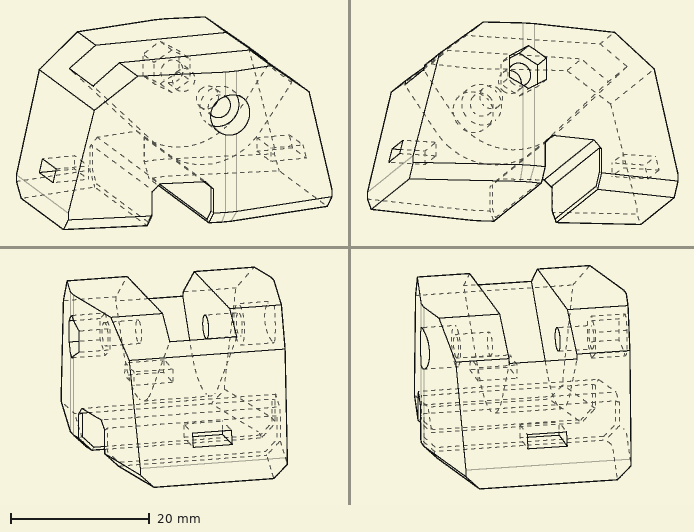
import cadquery as cq
import math

WIDTH = 29.9
LENGTH = 40.0
HEIGHT = 23.0
HALF_WIDTH = WIDTH / 2
HALF_LENGTH = LENGTH / 2

AXLE_Y = 3.5
AXLE_Z = 16.5
APEX_FLAT = 1.75
TAPER_ANGLE = 10.0
TAPER = math.tan(math.radians(TAPER_ANGLE))
BOTTOM_CHAMFER = 2.0

FOOT_HEIGHT = 3.0
SHOULDER_Y = 16.25
SHOULDER_Z = 18.2
TOP_HALF_LENGTH = 10.0

POCKET_WIDTH = 10.0
POCKET_RADIUS = 10.0
FRONT_RAMP_ANGLE = 45.0
REAR_RAMP_ANGLE = 55.0
RAMP_LENGTH = LENGTH

BOLT_DIAMETER = 3.4
NUT_ACROSS_FLATS = 5.5
NUT_SIDES = 6
HEAD_DIAMETER = 6.0
BOLT_SEAT_X = 10.0

SLIT_WIDTH = 5.8
SLIT_BOTTOM = 5.4
SLIT_HEIGHT = 2.0
SLIT_END_Y = 14.0

NOTCH_CENTER_Y = -3.5
NOTCH_WIDTH = 8.5
NOTCH_HEIGHT = 6.75
NOTCH_CORNER = 1.0
MOUTH_FLARE = 0.2
MOUTH_DEPTH = 0.5


def half_width_at(y):
    """Half the body width at the given Y."""
    return HALF_WIDTH - TAPER * max(0.0, abs(y - AXLE_Y) - APEX_FLAT / 2)


def extrude_across(points, width):
    """Extrude a Y-Z outline along X, centred on X = 0."""
    return cq.Workplane("YZ").polyline(points).close().extrude(width / 2, both=True)


def make_body():
    flat_ends = [AXLE_Y - APEX_FLAT / 2, AXLE_Y + APEX_FLAT / 2]
    stations = [-HALF_LENGTH] + flat_ends + [HALF_LENGTH]
    right_side = [(half_width_at(y), y) for y in stations]
    left_side = [(-x, y) for x, y in reversed(right_side)]
    prism = cq.Workplane("XY").polyline(right_side + left_side).close().extrude(HEIGHT)
    prism = prism.faces("<Z").edges("not |X").chamfer(BOTTOM_CHAMFER)

    rear_half = [
        (HALF_LENGTH, 0),
        (HALF_LENGTH, FOOT_HEIGHT),
        (SHOULDER_Y, SHOULDER_Z),
        (TOP_HALF_LENGTH, HEIGHT),
    ]
    front_half = [(-y, z) for y, z in reversed(rear_half)]
    return prism.intersect(extrude_across(rear_half + front_half, WIDTH))


def make_wheel_pocket():
    """A round trough whose two ends run out along tangent ramps."""

    def tangent_point(angle, side):
        a = math.radians(angle)
        return (AXLE_Y + side * POCKET_RADIUS * math.sin(a), AXLE_Z - POCKET_RADIUS * math.cos(a))

    def ramp_end(angle, side):
        a = math.radians(angle)
        y, z = tangent_point(angle, side)
        return (y + side * RAMP_LENGTH * math.cos(a), z + RAMP_LENGTH * math.sin(a))

    return (
        cq.Workplane("YZ")
        .moveTo(*ramp_end(FRONT_RAMP_ANGLE, -1))
        .lineTo(*tangent_point(FRONT_RAMP_ANGLE, -1))
        .threePointArc((AXLE_Y, AXLE_Z - POCKET_RADIUS), tangent_point(REAR_RAMP_ANGLE, 1))
        .lineTo(*ramp_end(REAR_RAMP_ANGLE, 1))
        .close()
        .extrude(POCKET_WIDTH / 2, both=True)
    )


def make_bolt_cut():
    axle = cq.Workplane("YZ").center(AXLE_Y, AXLE_Z)
    hole = axle.circle(BOLT_DIAMETER / 2).extrude(WIDTH, both=True)
    head = axle.workplane(offset=BOLT_SEAT_X).circle(HEAD_DIAMETER / 2).extrude(WIDTH)
    across_corners = NUT_ACROSS_FLATS / math.cos(math.pi / NUT_SIDES)
    nut = (
        axle.workplane(offset=-BOLT_SEAT_X)
        .transformed(rotate=(0, 0, 90))
        .polygon(NUT_SIDES, across_corners)
        .extrude(-WIDTH)
    )
    return hole.union(head).union(nut)


def make_slit(side):
    depth = HALF_LENGTH - SLIT_END_Y
    return (
        cq.Workplane("XY")
        .box(SLIT_WIDTH, depth, SLIT_HEIGHT)
        .translate((0, side * (SLIT_END_Y + depth / 2), SLIT_BOTTOM + SLIT_HEIGHT / 2))
    )


def make_notch():
    near = NOTCH_CENTER_Y - NOTCH_WIDTH / 2
    far = NOTCH_CENTER_Y + NOTCH_WIDTH / 2
    return extrude_across(
        [
            (near, 0),
            (near, NOTCH_HEIGHT - NOTCH_CORNER),
            (near + NOTCH_CORNER, NOTCH_HEIGHT),
            (far - NOTCH_CORNER, NOTCH_HEIGHT),
            (far, NOTCH_HEIGHT - NOTCH_CORNER),
            (far, 0),
        ],
        WIDTH,
    )


def section_outline(y, inset):
    """X-Z body section at the given Y, with its sides and underside moved in by inset."""
    half = half_width_at(y) - inset
    chamfer = BOTTOM_CHAMFER - inset * (2 - math.sqrt(2))
    return [
        (half, HEIGHT),
        (half, inset + chamfer),
        (half - chamfer, inset),
        (chamfer - half, inset),
        (-half, inset + chamfer),
        (-half, HEIGHT),
    ]


def make_mouth_flare(side):
    """Bevel where one notch wall meets the body sides and underside."""
    wall_y = NOTCH_CENTER_Y + side * NOTCH_WIDTH / 2
    outer_y = wall_y + side * MOUTH_FLARE
    wall_top = NOTCH_HEIGHT - NOTCH_CORNER
    strip = extrude_across(
        [(wall_y, 0), (outer_y, 0), (outer_y, wall_top - MOUTH_FLARE), (wall_y, wall_top)],
        WIDTH,
    )
    core = (
        cq.Workplane("XZ", origin=(0, wall_y, 0))
        .polyline(section_outline(wall_y, MOUTH_DEPTH))
        .close()
        .workplane(offset=wall_y - outer_y)
        .polyline(section_outline(outer_y, 0))
        .close()
        .loft(ruled=True)
    )
    return strip.cut(core)


result = make_body()
result = result.cut(make_wheel_pocket())
result = result.cut(make_bolt_cut())
result = result.cut(make_notch())
for end in (-1, 1):
    result = result.cut(make_slit(end))
    result = result.cut(make_mouth_flare(end))